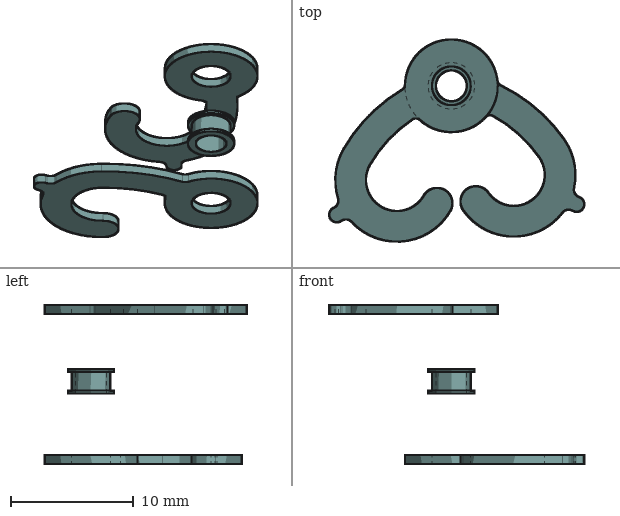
import cadquery as cq
import math

total_height = 12.97
arm_thickness = 0.75
bushing_base = 5.75

ring_radius = 3.79
pivot_hole_radius = 1.58
hook_distance = 8.87
hook_inner_radius = 2.52
arm_width = 2.52
ring_fillet = 0.5

nub_radius = 0.62
nub_distance = 5.66
nub_angle = 240
nub_fillet = 0.62

upper_swing = -30
lower_swing = 35

bore_radius = 1.25
flange_radius = 1.9
flange_thickness = 0.25

hook_outer_radius = hook_inner_radius + arm_width
hook_middle_radius = hook_inner_radius + arm_width / 2
shank_center_x = (hook_distance**2 - hook_middle_radius**2) / (2 * hook_middle_radius)
shank_outer_radius = shank_center_x + hook_outer_radius
shank_inner_radius = shank_center_x + hook_inner_radius
shank_angle = math.asin(hook_distance / (shank_center_x + hook_middle_radius))


def shank_point(radius, angle):
    """Point on a shank arc; the angle is measured up from the hook's level."""
    x = shank_center_x - radius * math.cos(angle)
    y = -hook_distance + radius * math.sin(angle)
    return (x, y)


def make_hooked_shank():
    """Shank and half-round hook in one strip of constant width with a round tip."""
    return (
        cq.Workplane("XY")
        .moveTo(*shank_point(shank_outer_radius, shank_angle))
        .threePointArc(
            shank_point(shank_outer_radius, shank_angle / 2),
            (-hook_outer_radius, -hook_distance),
        )
        .threePointArc(
            (0, -hook_distance - hook_outer_radius),
            (hook_outer_radius, -hook_distance),
        )
        .threePointArc(
            (hook_middle_radius, -hook_distance + arm_width / 2),
            (hook_inner_radius, -hook_distance),
        )
        .threePointArc(
            (0, -hook_distance - hook_inner_radius),
            (-hook_inner_radius, -hook_distance),
        )
        .threePointArc(
            shank_point(shank_inner_radius, shank_angle / 2),
            shank_point(shank_inner_radius, shank_angle),
        )
        .close()
        .extrude(arm_thickness)
    )


def make_nub():
    """Round-ended strip pointing outward from the middle of the hook's band."""
    strip_length = nub_distance - hook_middle_radius
    strip = (
        cq.Workplane("XY")
        .center(hook_middle_radius + strip_length / 2, 0)
        .rect(strip_length, 2 * nub_radius)
        .extrude(arm_thickness)
    )
    tip = cq.Workplane("XY").center(nub_distance, 0).circle(nub_radius).extrude(arm_thickness)
    nub = strip.union(tip).rotate((0, 0, 0), (0, 0, 1), nub_angle)
    return nub.translate((0, -hook_distance, 0))


def corner_edges(body, x, y):
    """Vertical edges of the body close to the point (x, y)."""
    reach = nub_radius / 2
    box = cq.selectors.BoxSelector(
        (x - reach, y - reach, -arm_thickness),
        (x + reach, y + reach, 2 * arm_thickness),
    )
    return body.edges("|Z").edges(box)


def fillet_ring_corners(arm):
    """Round the two corners where the shank edges run into the pivot ring."""
    center_distance = math.hypot(shank_center_x, hook_distance)
    pivot_direction = math.atan2(hook_distance, shank_center_x)
    for radius in (shank_outer_radius, shank_inner_radius):
        cosine = (radius**2 + center_distance**2 - ring_radius**2) / (2 * radius * center_distance)
        crossing_angle = pivot_direction - math.acos(cosine)
        x, y = shank_point(radius, crossing_angle)
        arm = corner_edges(arm, x, y).fillet(ring_fillet)
    return arm


def fillet_nub_corners(arm):
    """Round the two corners where the nub leaves the hook."""
    spread = math.asin(nub_radius / hook_outer_radius)
    for side in (-1, 1):
        angle = math.radians(nub_angle) + side * spread
        x = hook_outer_radius * math.cos(angle)
        y = -hook_distance + hook_outer_radius * math.sin(angle)
        arm = corner_edges(arm, x, y).fillet(nub_fillet)
    return arm


def make_arm():
    """Flat hooked arm hanging straight down from the pivot, hook opening toward +X."""
    ring = cq.Workplane("XY").circle(ring_radius).extrude(arm_thickness)
    arm = ring.union(make_hooked_shank()).union(make_nub())
    arm = fillet_nub_corners(fillet_ring_corners(arm))
    hole = cq.Workplane("XY").circle(pivot_hole_radius).extrude(arm_thickness)
    return arm.cut(hole)


def make_bushing():
    """Flanged tube whose barrel is as long as the two arms are thick."""
    barrel_length = 2 * arm_thickness
    return (
        cq.Workplane("XY")
        .circle(flange_radius)
        .extrude(flange_thickness)
        .faces(">Z").workplane()
        .circle(pivot_hole_radius)
        .extrude(barrel_length)
        .faces(">Z").workplane()
        .circle(flange_radius)
        .extrude(flange_thickness)
        .faces(">Z").workplane()
        .circle(bore_radius)
        .cutThruAll()
        .translate((0, 0, bushing_base))
    )


arm = make_arm()
upper_arm = arm.rotate((0, 0, 0), (0, 0, 1), upper_swing).translate((0, 0, total_height - arm_thickness))
lower_arm = arm.mirror("YZ").rotate((0, 0, 0), (0, 0, 1), lower_swing)
bushing = make_bushing()

result = cq.Compound.makeCompound([upper_arm.val(), lower_arm.val(), bushing.val()])